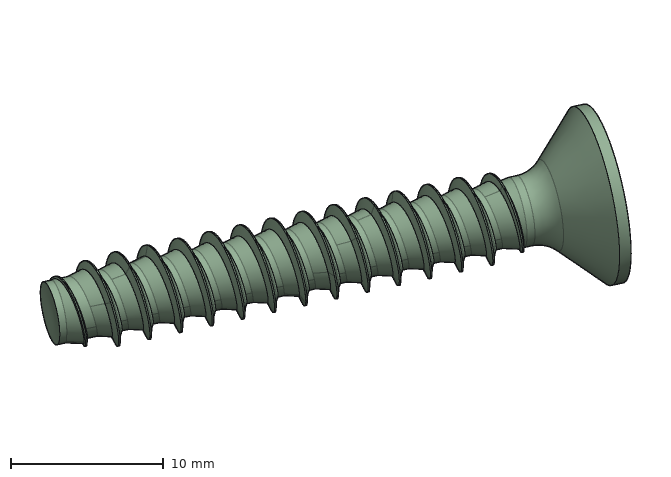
import cadquery as cq
import math

length = 38.0

head_radius = 6.0
rim_height = 0.8
cone_angle = 45.0
neck_radius = 2.36
neck_fillet = 2.45
neck_end_depth = 6.0

core_radius = 2.12
run_in_depth = 6.9
run_in_radius = 2.2
tip_dimple_depth = 0.18

pitch = 2.14
crest_radius = 3.05
crest_half_width = 0.055
flank_slope = 2.9
head_flare_offset = -0.28
head_foot_offset = -0.6
head_foot_radius = 1.9
land_top_radius = 2.44
land_end_offset = 1.48
land_end_radius = 2.06
least_ridge_height = 0.12

start_angle = -90.0
start_depth = 5.9
start_radius = 2.58
full_depth = 8.0
fade_depth = 34.5
end_depth = 37.95
end_radius = 2.1
turns_per_piece = 0.9
steps_per_piece = 14


def lathe_about_y(profile):
    """Turn a closed profile drawn in XY around the Y axis."""
    return profile.revolve(360, (0, 0, 0), (0, 1, 0))


def make_blank():
    """Head, filleted neck, run-in cone and core."""
    half_turn = math.radians(cone_angle / 2)
    tangent_length = neck_fillet * math.tan(half_turn)
    corner_depth = rim_height + (head_radius - neck_radius) / math.tan(math.radians(cone_angle))
    fillet_start = (
        neck_radius + tangent_length * math.sin(math.radians(cone_angle)),
        -corner_depth + tangent_length * math.cos(math.radians(cone_angle)),
    )
    fillet_end = (neck_radius, -(corner_depth + tangent_length))
    middle_bulge = neck_fillet * (1 - math.cos(half_turn))
    middle_rise = neck_fillet * math.sin(half_turn)
    fillet_middle = (neck_radius + middle_bulge, fillet_end[1] + middle_rise)
    profile = (
        cq.Workplane("XY")
        .moveTo(0, 0)
        .lineTo(head_radius, 0)
        .lineTo(head_radius, -rim_height)
        .lineTo(*fillet_start)
        .threePointArc(fillet_middle, fillet_end)
        .lineTo(neck_radius, -neck_end_depth)
        .lineTo(run_in_radius, -run_in_depth)
        .lineTo(core_radius, -run_in_depth)
        .lineTo(core_radius, -length)
        .lineTo(0, -length)
        .close()
    )
    return lathe_about_y(profile)


def crest_at(depth):
    """Crest radius: rises at the start, stays full, fades at the tip."""
    if depth < full_depth:
        share = (depth - start_depth) / (full_depth - start_depth)
        return start_radius + share * (crest_radius - start_radius)
    if depth > fade_depth:
        share = (depth - fade_depth) / (end_depth - fade_depth)
        return crest_radius + share * (end_radius - crest_radius)
    return crest_radius


def section_at(depth):
    """Corners (offset toward the tip, radius) of the thread section whose crest is at this depth."""
    crest = crest_at(depth)
    sink = crest_radius - crest
    land_top = min(land_top_radius, crest - least_ridge_height)
    land_slope = (land_top_radius - land_end_radius) / land_end_offset
    crest_line_top = crest + flank_slope * crest_half_width
    flank_meets_land = (crest_line_top - land_top) / (flank_slope - land_slope)
    return [
        (head_foot_offset, head_foot_radius - sink),
        (head_flare_offset, crest_line_top + flank_slope * head_flare_offset),
        (-crest_half_width, crest),
        (crest_half_width, crest),
        (flank_meets_land, land_top - land_slope * flank_meets_land),
        (land_end_offset, land_top - land_slope * land_end_offset),
    ]


def make_thread_piece(from_depth, to_depth):
    """One stretch of thread: ruled faces between helical rails, closed by a flat face at each end."""
    corner_paths = [[] for _ in section_at(from_depth)]
    for step in range(steps_per_piece + 1):
        depth = from_depth + (to_depth - from_depth) * step / steps_per_piece
        angle = math.radians(start_angle) + 2 * math.pi * (depth - start_depth) / pitch
        for path, (offset, radius) in zip(corner_paths, section_at(depth)):
            path.append(cq.Vector(radius * math.cos(angle), -(depth + offset), radius * math.sin(angle)))
    rails = [cq.Edge.makeSpline(path) for path in corner_paths]
    faces = []
    for rail, next_rail in zip(rails, rails[1:] + rails[:1]):
        faces.append(cq.Face.makeRuledSurface(rail, next_rail))
    for end in (0, -1):
        corners = [path[end] for path in corner_paths]
        faces.append(cq.Face.makeFromWires(cq.Wire.makePolygon(corners, close=True)))
    return cq.Solid.makeSolid(cq.Shell.makeShell(faces))


def add_thread(body):
    """Fuse the thread onto the body in short pieces, with joints where the crest slope changes."""
    joints = [start_depth, full_depth, fade_depth, end_depth]
    pieces = []
    for run_start, run_end in zip(joints, joints[1:]):
        piece_count = math.ceil((run_end - run_start) / (pitch * turns_per_piece))
        piece_length = (run_end - run_start) / piece_count
        for index in range(piece_count):
            piece_start = run_start + index * piece_length
            pieces.append(make_thread_piece(piece_start, piece_start + piece_length))
    return cq.Workplane(obj=body.val().fuse(*pieces))


def finish_tip(body):
    """Trim the thread flush with the tip and sink the shallow conical dimple."""
    profile = (
        cq.Workplane("XY")
        .moveTo(0, -length + tip_dimple_depth)
        .lineTo(core_radius, -length)
        .lineTo(head_radius, -length)
        .lineTo(head_radius, -length - pitch)
        .lineTo(0, -length - pitch)
        .close()
    )
    return body.cut(lathe_about_y(profile))


result = finish_tip(add_thread(make_blank()))